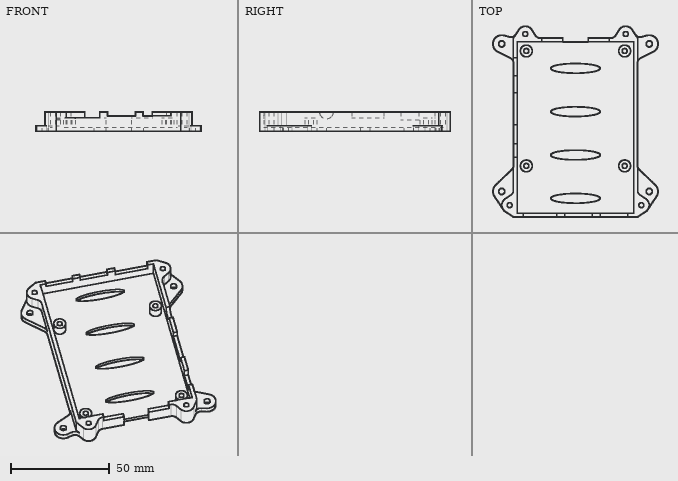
import cadquery as cq
import math

total_width = 84.0
total_length = 97.0
height = 10.0
floor_thickness = 2.0
wall = 2.0
body_width = 63.05
body_length = 91.0
root_fillet = 3.0

boss_radius = 4.0
boss_hole_diameter = 2.5
front_boss_x = 33.5
front_boss_y = 6.0
back_boss_x = 25.5

foot_thickness = 3.0
foot_pitch = 75.0
foot_hole_diameter = 3.0
front_foot_y = 13.0
front_foot_root_y = 25.0
back_foot_root_y = 79.9

standoff_diameter = 6.0
standoff_hole_diameter = 2.5
standoff_height = 4.9
standoff_pitch_x = 50.0
standoff_pitch_y = 58.4
front_standoff_y = 26.0

vent_length = 25.0
vent_width = 4.85
vent_count = 4
vent_pitch = 22.0
first_vent_y = 9.5

front_notches = [(-26.6, -9.6, 3.1), (-5.5, 8.6, 2.1), (12.5, 26.5, 2.1)]
left_notches = [(71.7, 80.9, 4.1), (46.85, 63.1, 3.1)]
cable_notch_y = 33.9
cable_notch_radius = 3.5
back_notch_width = 34.1
back_notch_depth = 3.0
card_slot_width = 12.9

half_width = body_width / 2
foot_x = foot_pitch / 2
foot_radius = (total_width - foot_pitch) / 2
back_foot_y = front_foot_y + foot_pitch
back_boss_y = total_length - boss_radius
cavity_width = body_width - 2 * wall
cavity_length = body_length - 2 * wall
cut_margin = 1.0


def tangent_point(center, radius, start, turn):
    """Point where a line from start touches a circle; turn = +1 or -1 picks the side."""
    dx = start[0] - center[0]
    dy = start[1] - center[1]
    angle = math.atan2(dy, dx) + turn * math.acos(radius / math.hypot(dx, dy))
    return (center[0] + radius * math.cos(angle), center[1] + radius * math.sin(angle))


def lug(center, radius, root_a, root_b, thickness):
    """Left-hand lug: lines from both roots tangent to a round end, closed inside the body.

    Going from root_a round the end to root_b is counter-clockwise.
    """
    touch_a = tangent_point(center, radius, root_a, 1)
    touch_b = tangent_point(center, radius, root_b, -1)
    middle_x = (touch_a[0] + touch_b[0]) / 2 - center[0]
    middle_y = (touch_a[1] + touch_b[1]) / 2 - center[1]
    stretch = radius / math.hypot(middle_x, middle_y)
    tip = (center[0] + stretch * middle_x, center[1] + stretch * middle_y)
    return (
        cq.Workplane("XY")
        .moveTo(*root_a)
        .lineTo(*touch_a)
        .threePointArc(tip, touch_b)
        .lineTo(*root_b)
        .lineTo(0, body_length / 2)
        .close()
        .extrude(thickness)
    )


def with_mirror(solid):
    """The solid together with its mirror image across X = 0."""
    return solid.union(solid.mirror("YZ"))


def fillet_roots(solid, roots, thickness):
    """Round the vertical edges at the given left-hand points and at their mirror images."""
    for x, y in roots:
        for side in (1, -1):
            edge_middle = (side * x, y, thickness / 2)
            solid = solid.edges(cq.selectors.NearestToPointSelector(edge_middle)).fillet(root_fillet)
    return solid


def box(x_start, x_end, y_start, y_end, z_start, z_end):
    """Axis-aligned box between the given limits."""
    size = (x_end - x_start, y_end - y_start, z_end - z_start)
    return cq.Workplane("XY").box(*size, centered=False).translate((x_start, y_start, z_start))


def pins(points, diameter, z_start, z_end):
    """Vertical cylinders at the given points."""
    return (
        cq.Workplane("XY", origin=(0, 0, z_start))
        .pushPoints(points)
        .circle(diameter / 2)
        .extrude(z_end - z_start)
    )


front_corner = (-half_width, 0)
back_corner = (-half_width, body_length)
front_boss = (-front_boss_x, front_boss_y)
back_boss = (-back_boss_x, back_boss_y)
front_boss_root = (-half_width, 2 * front_boss_y)
back_boss_root = (half_width - 2 * back_boss_x, body_length)


def make_block(thickness):
    """Solid rectangle with the four bosses, up to the given height."""
    block = box(-half_width, half_width, 0, body_length, 0, thickness)
    block = block.union(with_mirror(lug(front_boss, boss_radius, front_boss_root, front_corner, thickness)))
    return block.union(with_mirror(lug(back_boss, boss_radius, back_boss_root, back_corner, thickness)))


body = fillet_roots(make_block(height), [front_boss_root, back_boss_root], height)

front_foot = (-foot_x, front_foot_y)
back_foot = (-foot_x, back_foot_y)
front_foot_root = (-half_width, front_foot_root_y)
back_foot_root = (-half_width, back_foot_root_y)

radius_step = foot_radius - boss_radius
tangent_apex = tuple(
    (foot_radius * boss - boss_radius * foot) / radius_step
    for boss, foot in zip(front_boss, front_foot)
)
boss_touch = tangent_point(front_boss, boss_radius, tangent_apex, -1)

base = make_block(foot_thickness)
base = base.union(with_mirror(lug(front_foot, foot_radius, front_foot_root, boss_touch, foot_thickness)))
base = base.union(with_mirror(lug(back_foot, foot_radius, back_corner, back_foot_root, foot_thickness)))
base = fillet_roots(base, [front_foot_root, back_foot_root, back_corner], foot_thickness)

tray = body.union(base)
tray = tray.cut(
    box(-cavity_width / 2, cavity_width / 2, wall, wall + cavity_length, floor_thickness, height + cut_margin)
)

standoff_points = [
    (side * standoff_pitch_x / 2, y)
    for side in (-1, 1)
    for y in (front_standoff_y, front_standoff_y + standoff_pitch_y)
]
standoff_top = floor_thickness + standoff_height
tray = tray.union(pins(standoff_points, standoff_diameter, floor_thickness, standoff_top))
tray = tray.cut(pins(standoff_points, standoff_hole_diameter, floor_thickness, standoff_top))

boss_points = [(side * x, y) for side in (-1, 1) for x, y in (front_boss, back_boss)]
foot_points = [(side * x, y) for side in (-1, 1) for x, y in (front_foot, back_foot)]
tray = tray.cut(pins(boss_points, boss_hole_diameter, floor_thickness, height))
tray = tray.cut(pins(foot_points, foot_hole_diameter, 0, foot_thickness))

vents = (
    cq.Workplane("XY")
    .pushPoints([(0, first_vent_y + i * vent_pitch) for i in range(vent_count)])
    .ellipse(vent_length / 2, vent_width / 2)
    .extrude(floor_thickness)
)
tray = tray.cut(vents)

for start, end, depth in front_notches:
    tray = tray.cut(box(start, end, -cut_margin, wall, height - depth, height + cut_margin))

for start, end, depth in left_notches:
    tray = tray.cut(
        box(-half_width - cut_margin, wall - half_width, start, end, height - depth, height + cut_margin)
    )
cable_notch = (
    cq.Workplane("YZ", origin=(-half_width, 0, 0))
    .center(cable_notch_y, height)
    .circle(cable_notch_radius)
    .extrude(wall)
)
tray = tray.cut(cable_notch)

back_inner_y = body_length - wall
for width, bottom in ((back_notch_width, height - back_notch_depth), (card_slot_width, 0)):
    tray = tray.cut(
        box(-width / 2, width / 2, back_inner_y, body_length + cut_margin, bottom, height + cut_margin)
    )

result = tray